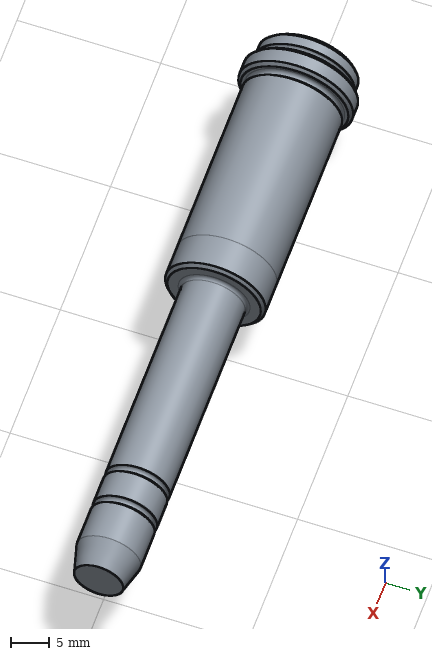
import cadquery as cq
import math

total_length = 84.0
body_diameter = 14.0
collar_diameter = 16.0
shaft_diameter = 9.0

body_end = 38.0
body_zone_start = 33.0
edge_chamfer = 0.5
shaft_fillet = 0.5

groove_radius = 0.5
groove_width = 2 * groove_radius
collar_start = 3.0
collar_end = 6.0
shaft_groove_centers = (69.0, 74.0)

tip_length = 4.0
tip_angle = 15.0

body_radius = body_diameter / 2
collar_radius = collar_diameter / 2
shaft_radius = shaft_diameter / 2
tip_start = total_length - tip_length
tip_radius = shaft_radius - tip_length * math.tan(math.radians(tip_angle))


def add_groove(profile, center, surface_radius):
    """Draw a half-round groove in the profile, moving in the +X direction."""
    return (
        profile.lineTo(center - groove_radius, surface_radius)
        .threePointArc(
            (center, surface_radius - groove_radius),
            (center + groove_radius, surface_radius),
        )
    )


def add_head(profile):
    """Chamfered head disc and collar, with a relief groove on each side of the collar."""
    profile = (
        profile.lineTo(0, body_radius - edge_chamfer)
        .lineTo(edge_chamfer, body_radius)
    )
    profile = add_groove(profile, collar_start - groove_width / 2, body_radius)
    profile = (
        profile.lineTo(collar_start, collar_radius - edge_chamfer)
        .lineTo(collar_start + edge_chamfer, collar_radius)
        .lineTo(collar_end - edge_chamfer, collar_radius)
        .lineTo(collar_end, collar_radius - edge_chamfer)
    )
    return add_groove(profile, collar_end + groove_width / 2, body_radius)


def add_body(profile):
    """Body cylinder in two faces, chamfered shoulder and fillet into the shaft."""
    fillet_center_x = body_end + shaft_fillet
    fillet_center_radius = shaft_radius + shaft_fillet
    fillet_reach = shaft_fillet * math.sqrt(0.5)
    return (
        profile.lineTo(body_zone_start, body_radius)
        .lineTo(body_end - edge_chamfer, body_radius)
        .lineTo(body_end, body_radius - edge_chamfer)
        .lineTo(body_end, fillet_center_radius)
        .threePointArc(
            (fillet_center_x - fillet_reach, fillet_center_radius - fillet_reach),
            (fillet_center_x, shaft_radius),
        )
    )


def add_shaft(profile):
    """Grooved shaft ending in a tapered tip."""
    for center in shaft_groove_centers:
        profile = add_groove(profile, center, shaft_radius)
    return (
        profile.lineTo(tip_start, shaft_radius)
        .lineTo(total_length, tip_radius)
        .lineTo(total_length, 0)
    )


half_profile = add_shaft(add_body(add_head(cq.Workplane("XZ").moveTo(0, 0)))).close()

result = half_profile.revolve(360, (0, 0, 0), (1, 0, 0), clean=False)